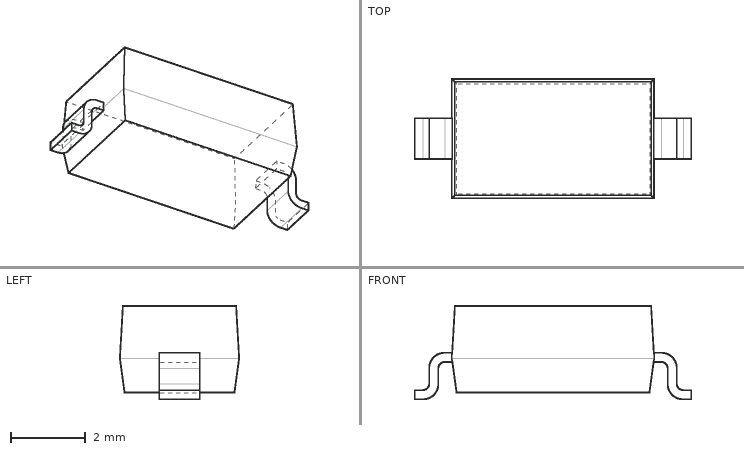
import cadquery as cq

overall_length = 7.4
overall_height = 2.5

body_length = 5.42
body_width = 3.2
body_bottom_z = 0.185
parting_z = 1.1
top_inset = 0.08
bottom_inset = 0.125

lead_width = 1.095
lead_thickness = 0.25
lead_top_z = 1.25
leg_outer_x = 3.315
bend_inner_radius = 0.16
lead_embed = 0.295

bend_outer_radius = bend_inner_radius + lead_thickness
leg_inner_x = leg_outer_x - lead_thickness


def body_half(end_z, inset):
    """Tapered block from the parting plane to its smaller end face."""
    return (
        cq.Workplane("XY", origin=(0, 0, parting_z))
        .rect(body_length, body_width)
        .workplane(offset=end_z - parting_z)
        .rect(body_length - 2 * inset, body_width - 2 * inset)
        .loft(ruled=True)
    )


def right_lead():
    """S-shaped strip at the +X end, with its foot resting on Z = 0."""
    tip_x = overall_length / 2
    root_x = body_length / 2 - lead_embed
    foot_bend_x = leg_outer_x + bend_inner_radius
    shoulder_bend_x = leg_outer_x - bend_outer_radius
    foot_bend_z = bend_outer_radius
    shoulder_bend_z = lead_top_z - bend_outer_radius
    return (
        cq.Workplane("XZ")
        .moveTo(tip_x, 0)
        .lineTo(foot_bend_x, 0)
        .radiusArc((leg_inner_x, foot_bend_z), bend_outer_radius)
        .lineTo(leg_inner_x, shoulder_bend_z)
        .radiusArc((shoulder_bend_x, lead_top_z - lead_thickness), -bend_inner_radius)
        .lineTo(root_x, lead_top_z - lead_thickness)
        .lineTo(root_x, lead_top_z)
        .lineTo(shoulder_bend_x, lead_top_z)
        .radiusArc((leg_outer_x, shoulder_bend_z), bend_outer_radius)
        .lineTo(leg_outer_x, foot_bend_z)
        .radiusArc((foot_bend_x, lead_thickness), -bend_inner_radius)
        .lineTo(tip_x, lead_thickness)
        .close()
        .extrude(lead_width / 2, both=True)
    )


body = body_half(overall_height, top_inset).union(body_half(body_bottom_z, bottom_inset))
lead = right_lead()
result = body.union(lead).union(lead.mirror("YZ"))